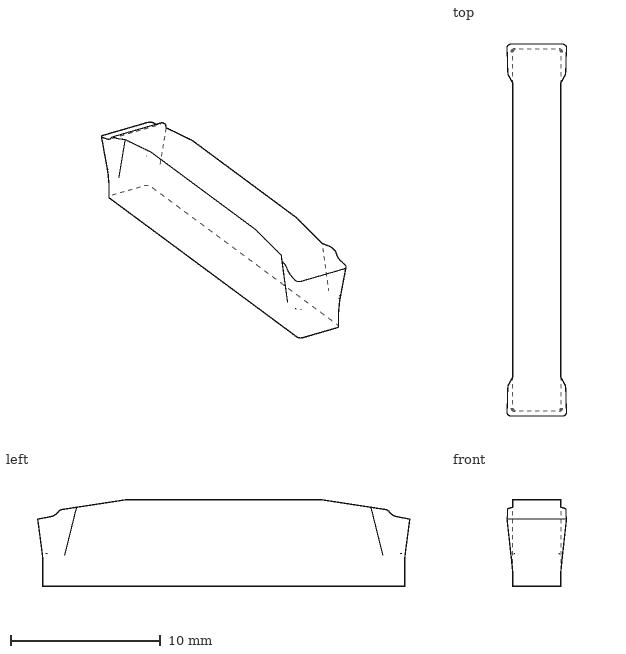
import cadquery as cq
import math

length = 24.85
width = 4.0
height = 5.8
body_width = 3.23
tip_y = length / 2

tip_z = 4.5
land_length = 0.9
land_z = 4.67
chip_wall_y = tip_y - 1.37
chip_wall_z = 4.97
ridge_y = tip_y - 1.65
ridge_z = 5.15
flat_top_y = 6.55

front_relief_angle = 7.5
foot_z = 1.91
foot_y = tip_y - (tip_z - foot_z) * math.tan(math.radians(front_relief_angle))
foot_blend_radius = 4.22
corner_radius = 0.3

widest_y = tip_y - corner_radius
widest_z = tip_z + (land_z - tip_z) * corner_radius / land_length
flank_slope_z = 0.1
flank_slope_y = 0.08
flare_slope = 0.57
flare_bottom_z = 1.91
flare_bottom_y = 10.65
flare_top_z = 5.22
flare_top_y = 9.85
flare_blend_radius = 0.2
head_bottom_z = 0.75
head_overlap = 0.5
upright_edge_minimum = 0.25


def make_half_profile(profile_width):
    """Extruded side outline of the +Y half, centred on X."""
    land_end = (tip_y - land_length, land_z)
    chip_wall = (chip_wall_y, chip_wall_z)
    ridge = (ridge_y, ridge_z)
    profile = (
        cq.Workplane("YZ")
        .moveTo(0, 0)
        .lineTo(foot_y, 0)
        .lineTo(foot_y, foot_z)
        .lineTo(tip_y, tip_z)
        .lineTo(*land_end)
        .tangentArcPoint(chip_wall, relative=False)
        .tangentArcPoint(ridge, relative=False)
        .lineTo(flat_top_y, height)
        .lineTo(0, height)
        .close()
        .extrude(profile_width / 2, both=True)
    )
    foot_edge = cq.selectors.NearestToPointSelector((0, foot_y, foot_z))
    return profile.edges(foot_edge).fillet(foot_blend_radius)


def round_tip_corners(solid):
    """Round the two upright corner chains where the end face meets the flanks."""
    corners = [
        edge
        for edge in solid.edges().vals()
        if edge.Center().y > foot_y - corner_radius
        and edge.BoundingBox().zlen > upright_edge_minimum
    ]
    return solid.newObject(corners).fillet(corner_radius)


def head_plan(z):
    """Plan corners of the head at height z; the flanks stay planar between heights."""
    def flank_x(y):
        return width / 2 - flank_slope_z * (widest_z - z) - flank_slope_y * (widest_y - y)

    flare_lean = (flare_top_y - flare_bottom_y) / (flare_top_z - flare_bottom_z)
    root_y = flare_bottom_y + flare_lean * (z - flare_bottom_z)
    knee_y = root_y + (flank_x(root_y) - body_width / 2) / (flare_slope - flank_slope_y)
    outer_y = tip_y + head_overlap
    inner_y = root_y - head_overlap
    inner_x = body_width / 2 - flare_slope * head_overlap
    right = [(flank_x(outer_y), outer_y), (flank_x(knee_y), knee_y), (inner_x, inner_y)]
    left = [(-x, y) for x, y in reversed(right)]
    return right + left


def make_head():
    """Flared cutting head at the +Y end."""
    envelope = (
        cq.Workplane("XY", origin=(0, 0, head_bottom_z))
        .polyline(head_plan(head_bottom_z))
        .close()
        .workplane(offset=height - head_bottom_z)
        .polyline(head_plan(height))
        .close()
        .loft(ruled=True)
    )
    for side in (-1, 1):
        mid_z = (height + head_bottom_z) / 2
        knee_x, knee_y = head_plan(mid_z)[1]
        knee = cq.selectors.NearestToPointSelector((side * knee_x, knee_y, mid_z))
        envelope = envelope.edges(knee).fillet(flare_blend_radius)
    return round_tip_corners(envelope.intersect(make_half_profile(2 * width)))


half = round_tip_corners(make_half_profile(body_width)).union(make_head())
result = half.union(half.mirror("XZ")).clean()